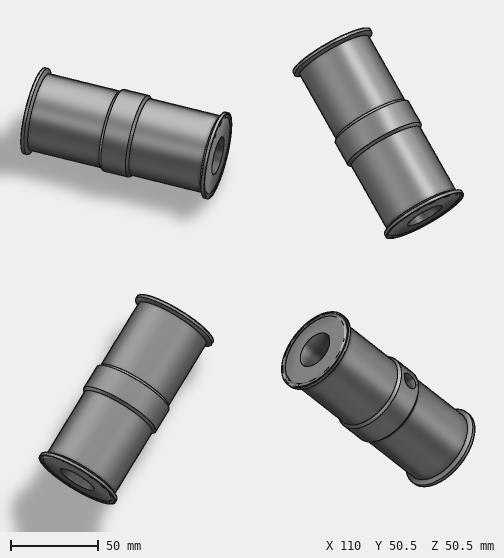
import cadquery as cq

length = 110.0
tube_radius = 45.0 / 2
bore_radius = 22.2 / 2

flange_radius = 50.5 / 2
rim_width = 1.9
flange_width = 3.3

groove_inner_radius = 22.3
groove_outer_radius = 24.4
groove_depth = 0.7

groove_lip_radius = 0.5 / 2

collar_radius = 48.0 / 2
collar_width = 18.0
collar_bevel_width = 1.6

port_diameter = 10.0


def cylinder(radius, width):
    """Cylinder about X, centred on the origin."""
    return cq.Workplane("YZ").circle(radius).extrude(width / 2, both=True)


def collar():
    """Central collar with a bevel at each end."""
    half_width = collar_width / 2
    shoulder = half_width - collar_bevel_width
    return (
        cq.Workplane("XY")
        .moveTo(-half_width, 0)
        .lineTo(-half_width, tube_radius)
        .lineTo(-shoulder, collar_radius)
        .lineTo(shoulder, collar_radius)
        .lineTo(half_width, tube_radius)
        .lineTo(half_width, 0)
        .close()
        .revolve(360, (0, 0, 0), (1, 0, 0))
    )


def flange():
    """Flange at the -X end: a cylindrical rim with a conical back."""
    end = -length / 2
    return (
        cq.Workplane("XY")
        .moveTo(end, 0)
        .lineTo(end, flange_radius)
        .lineTo(end + rim_width, flange_radius)
        .lineTo(end + flange_width, tube_radius)
        .lineTo(end + flange_width, 0)
        .close()
        .revolve(360, (0, 0, 0), (1, 0, 0))
    )


def gasket_groove():
    """Ring with an arc-shaped section, cut into the -X end face."""
    end = -length / 2
    middle_radius = (groove_inner_radius + groove_outer_radius) / 2
    return (
        cq.Workplane("XY")
        .moveTo(end, groove_inner_radius)
        .threePointArc((end + groove_depth, middle_radius), (end, groove_outer_radius))
        .close()
        .revolve(360, (0, 0, 0), (1, 0, 0))
    )


def grooved_flange():
    """Flange with the gasket groove cut in and both lips of the groove rounded."""
    grooved = flange().cut(gasket_groove())
    end_face_circles = grooved.faces("<X").edges("%CIRCLE").vals()
    lips = [edge for edge in end_face_circles if edge.radius() < flange_radius - groove_lip_radius]
    return grooved.newObject(lips).fillet(groove_lip_radius)


end_flange = grooved_flange()
span_between_flanges = length - 2 * flange_width
body = cylinder(tube_radius, span_between_flanges).union(collar())
body = body.union(end_flange).union(end_flange.mirror("YZ"))

bore = cylinder(bore_radius, length)
port = cq.Workplane("XZ").circle(port_diameter / 2).extrude(-collar_radius)
result = body.cut(bore).cut(port)